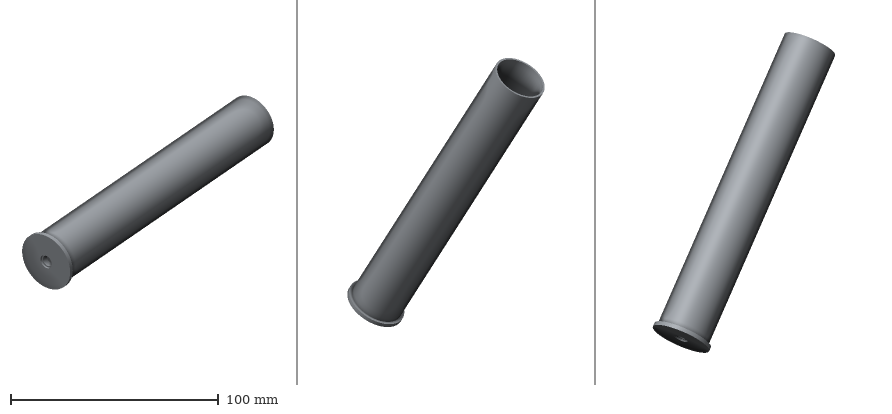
import cadquery as cq

LENGTH = 159.0
BODY_DIAMETER = 26.5
RIM_DIAMETER = 29.6
RIM_THICKNESS = 2.0

BORE_DIAMETER = 24.5
BASE_THICKNESS = 4.0

HOLE_DIAMETER = 5.5
COUNTERBORE_DIAMETER = 6.95
COUNTERBORE_DEPTH = 1.0

RIM_FACE_Y = -LENGTH / 2


def cylinder(diameter, length, start):
    """Cylinder on the Y axis, running towards +Y from a distance behind the rim face."""
    plane = cq.Plane(origin=(0, RIM_FACE_Y + start, 0), xDir=(1, 0, 0), normal=(0, 1, 0))
    return cq.Workplane(plane).circle(diameter / 2).extrude(length)


def make_case():
    """Solid body with the wider rim at its -Y end."""
    body = cylinder(BODY_DIAMETER, LENGTH, 0)
    rim = cylinder(RIM_DIAMETER, RIM_THICKNESS, 0)
    return body.union(rim)


def cut_bore(case):
    """Hollow the body from the open end down to the base."""
    return case.cut(cylinder(BORE_DIAMETER, LENGTH - BASE_THICKNESS, BASE_THICKNESS))


def cut_base_hole(case):
    """Counterbored hole joining the rim face to the bore."""
    hole = cylinder(HOLE_DIAMETER, BASE_THICKNESS, 0)
    counterbore = cylinder(COUNTERBORE_DIAMETER, COUNTERBORE_DEPTH, 0)
    return case.cut(hole).cut(counterbore)


result = cut_base_hole(cut_bore(make_case()))